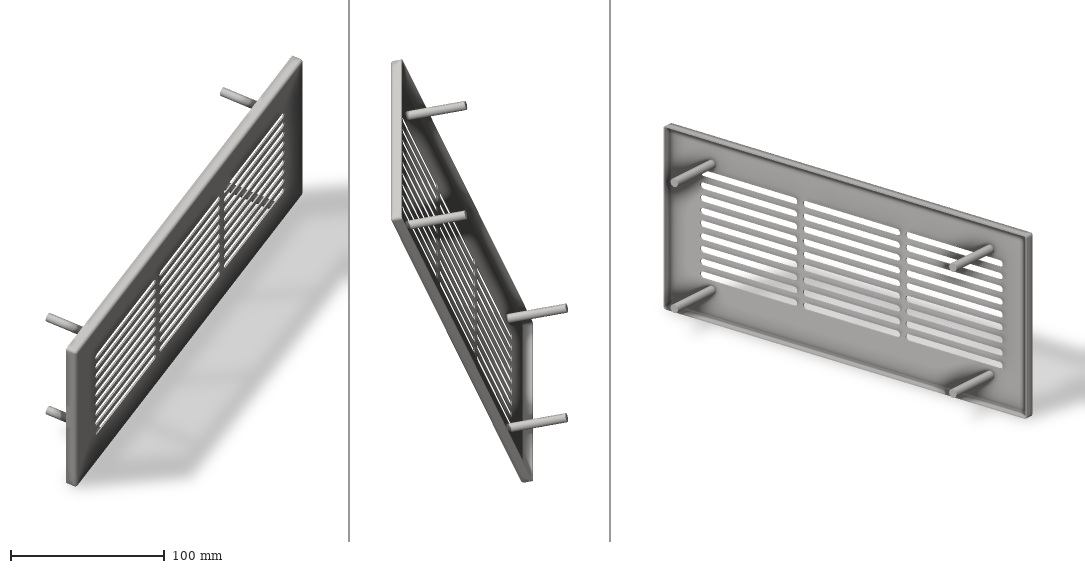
import cadquery as cq

tray_length = 300.0
tray_height = 130.0
rim_depth = 7.8
sheet_thickness = 1.0
outer_bend_radius = 2.0
inner_bend_radius = outer_bend_radius - sheet_thickness

total_depth = 41.0
rod_diameter = 6.0
rod_spacing_y = 230.0
rod_spacing_z = 89.0

slot_columns = 3
slot_rows = 9
slot_length = 80.0
slot_width = 4.8
slot_gap = 4.8
row_pitch = 9.0
column_pitch = slot_length + slot_gap

panel_inner_x = -sheet_thickness
rod_length = total_depth - sheet_thickness


def rounded_block(length, height, front_x, depth, radius):
    """Block reaching from front_x toward -X, rounded at its corners and front edge."""
    return (
        cq.Workplane("YZ", origin=(front_x, 0, 0))
        .rect(length, height)
        .extrude(-depth)
        .edges("|X")
        .fillet(radius)
        .faces(">X")
        .edges()
        .fillet(radius)
    )


def make_tray():
    """Shallow open tray with the same wall thickness all round."""
    outer = rounded_block(tray_length, tray_height, 0, rim_depth, outer_bend_radius)
    cavity = rounded_block(
        tray_length - 2 * sheet_thickness,
        tray_height - 2 * sheet_thickness,
        panel_inner_x,
        rim_depth,
        inner_bend_radius,
    )
    return outer.cut(cavity)


def make_slots():
    """Grid of round-ended cutters running along Y."""
    return (
        cq.Workplane("YZ")
        .rarray(column_pitch, row_pitch, slot_columns, slot_rows)
        .slot2D(slot_length, slot_width)
        .extrude(-rim_depth)
    )


def make_rods():
    """Four rods standing on the inner face of the panel and pointing toward -X."""
    return (
        cq.Workplane("YZ", origin=(panel_inner_x, 0, 0))
        .rarray(rod_spacing_y, rod_spacing_z, 2, 2)
        .circle(rod_diameter / 2)
        .extrude(-rod_length)
    )


result = make_tray().cut(make_slots()).union(make_rods())